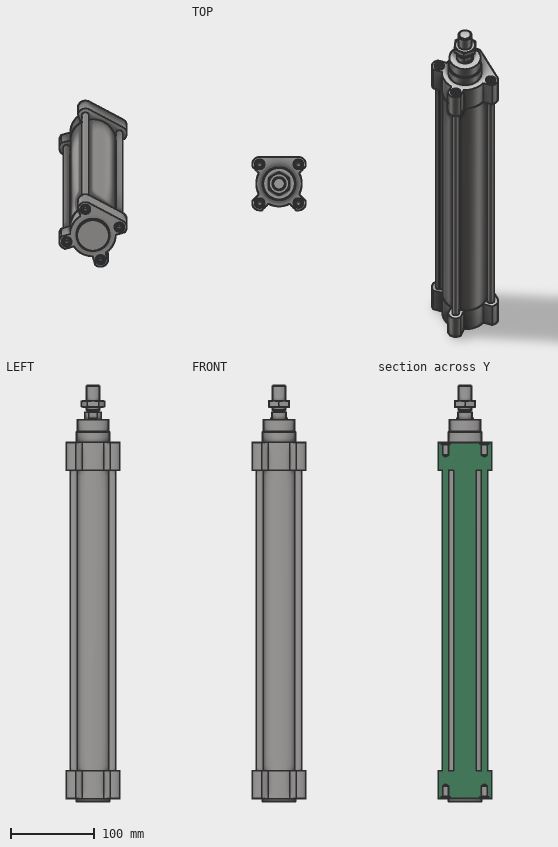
import cadquery as cq
import math

TOTAL_HEIGHT = 498.0
BASE_SPIGOT_HEIGHT = 4.0
CAP_HEIGHT = 33.5
FRONT_CAP_TOP = 429.5
FRONT_CAP_BOTTOM = FRONT_CAP_TOP - CAP_HEIGHT
REAR_CAP_TOP = BASE_SPIGOT_HEIGHT + CAP_HEIGHT

CAP_WIDTH = 64.0
CAP_HALF = CAP_WIDTH / 2
CORE_DIAMETER = 55.0
LUG_RADIUS = 9.0
LUG_CENTER = CAP_HALF - LUG_RADIUS
LUG_FLAT = 2.5

BARREL_DIAMETER = 54.0
TIE_ROD_DIAMETER = 8.5

RECESS_MOUTH_DIAMETER = 12.0
RECESS_DIAMETER = 10.0
RECESS_DEPTH = 2.0
SOCKET_MOUTH_DIAMETER = 8.0
SOCKET_DIAMETER = 6.5
SOCKET_DEPTH = 15.0
DRILL_POINT_ANGLE = 118.0

SPIGOT_DIAMETER = 40.0
SPIGOT_CHAMFER = 1.0
FRONT_SPIGOT_TOP = 443.0
COLLAR_DIAMETER = 37.5
COLLAR_TOP = 457.0

ROD_DIAMETER = 20.0
ROD_SHOULDER = 466.0
WRENCH_FLAT_WIDTH = 17.0
WRENCH_FLAT_BOTTOM = 458.5
NECK_DIAMETER = 13.5
THREAD_DIAMETER = 16.0
THREAD_BOTTOM = 467.5
THREAD_CHAMFER = (THREAD_DIAMETER - NECK_DIAMETER) / 2

NUT_ACROSS_FLATS = 24.5
NUT_FACE_DIAMETER = 24.0
NUT_ACROSS_CORNERS = NUT_ACROSS_FLATS / math.cos(math.radians(30))
NUT_HEIGHT = 7.5
NUT_BOTTOM = 472.0
NUT_CHAMFER_ANGLE = 20.0

LUG_POSITIONS = [(x, y) for x in (-LUG_CENTER, LUG_CENTER) for y in (-LUG_CENTER, LUG_CENTER)]


def cylinder(diameter, bottom, top):
    return cq.Workplane("XY").workplane(offset=bottom).circle(diameter / 2).extrude(top - bottom)


def cap_lug(bottom):
    """Corner lug in +X +Y: a rounded outer corner, two short flats and 45 degree webs."""
    flat_end = LUG_CENTER - LUG_FLAT
    web_run = CAP_HALF - flat_end
    arc_mid = LUG_CENTER + LUG_RADIUS * math.sqrt(0.5)
    return (
        cq.Workplane("XY")
        .workplane(offset=bottom)
        .moveTo(CAP_HALF, flat_end)
        .lineTo(CAP_HALF, LUG_CENTER)
        .threePointArc((arc_mid, arc_mid), (LUG_CENTER, CAP_HALF))
        .lineTo(flat_end, CAP_HALF)
        .lineTo(flat_end - 2 * web_run, CAP_HALF - 2 * web_run)
        .lineTo(CAP_HALF - 2 * web_run, flat_end - 2 * web_run)
        .close()
        .extrude(CAP_HEIGHT)
    )


def end_cap(bottom):
    cap = cylinder(CORE_DIAMETER, bottom, bottom + CAP_HEIGHT)
    lug = cap_lug(bottom)
    for quarter in range(4):
        cap = cap.union(lug.rotate((0, 0, 0), (0, 0, 1), 90 * quarter))
    mounting_face = (
        cq.Workplane("XY")
        .workplane(offset=bottom)
        .center(0, CAP_HALF / 2)
        .rect(2 * LUG_CENTER, CAP_HALF)
        .extrude(CAP_HEIGHT)
    )
    return cap.union(mounting_face)


def screw_recess():
    """Cutter for one recess: its mouth lies at Z = 0 and it points down."""
    recess_radius = RECESS_DIAMETER / 2
    recess_mouth_radius = RECESS_MOUTH_DIAMETER / 2
    mouth_radius = SOCKET_MOUTH_DIAMETER / 2
    socket_radius = SOCKET_DIAMETER / 2
    bevel_bottom = -RECESS_DEPTH - (mouth_radius - socket_radius)
    point_length = socket_radius / math.tan(math.radians(DRILL_POINT_ANGLE / 2))
    return (
        cq.Workplane("XZ")
        .moveTo(0, 0)
        .lineTo(recess_mouth_radius, 0)
        .lineTo(recess_radius, recess_radius - recess_mouth_radius)
        .lineTo(recess_radius, -RECESS_DEPTH)
        .lineTo(mouth_radius, -RECESS_DEPTH)
        .lineTo(socket_radius, bevel_bottom)
        .lineTo(socket_radius, -SOCKET_DEPTH)
        .lineTo(0, -SOCKET_DEPTH - point_length)
        .close()
        .revolve(360, (0, 0, 0), (0, 1, 0))
    )


def make_housing():
    housing = end_cap(BASE_SPIGOT_HEIGHT).union(end_cap(FRONT_CAP_BOTTOM))
    housing = housing.union(cylinder(BARREL_DIAMETER, REAR_CAP_TOP, FRONT_CAP_BOTTOM))
    for x, y in LUG_POSITIONS:
        tie_rod = cylinder(TIE_ROD_DIAMETER, REAR_CAP_TOP, FRONT_CAP_BOTTOM)
        housing = housing.union(tie_rod.translate((x, y, 0)))

    rear_spigot = cylinder(SPIGOT_DIAMETER, 0, BASE_SPIGOT_HEIGHT).faces("<Z").chamfer(SPIGOT_CHAMFER)
    front_spigot = cylinder(SPIGOT_DIAMETER, FRONT_CAP_TOP, FRONT_SPIGOT_TOP)
    front_spigot = front_spigot.faces(">Z").chamfer(SPIGOT_CHAMFER)
    collar = cylinder(COLLAR_DIAMETER, FRONT_SPIGOT_TOP, COLLAR_TOP)
    housing = housing.union(rear_spigot).union(front_spigot).union(collar)

    front_recess = screw_recess()
    rear_recess = front_recess.mirror("XY")
    for x, y in LUG_POSITIONS:
        housing = housing.cut(front_recess.translate((x, y, FRONT_CAP_TOP)))
        housing = housing.cut(rear_recess.translate((x, y, BASE_SPIGOT_HEIGHT)))

    rod_bore = cylinder(ROD_DIAMETER, FRONT_CAP_BOTTOM, COLLAR_TOP)
    return housing.cut(rod_bore)


def make_piston_rod():
    shank = cylinder(ROD_DIAMETER, FRONT_CAP_BOTTOM, ROD_SHOULDER)
    between_flats = (
        cq.Workplane("XY")
        .workplane(offset=WRENCH_FLAT_BOTTOM)
        .rect(WRENCH_FLAT_WIDTH, ROD_DIAMETER)
        .extrude(ROD_SHOULDER - WRENCH_FLAT_BOTTOM)
    )
    flatted_end = cylinder(ROD_DIAMETER, WRENCH_FLAT_BOTTOM, ROD_SHOULDER)
    shank = shank.cut(flatted_end.cut(between_flats))
    neck = cylinder(NECK_DIAMETER, ROD_SHOULDER, THREAD_BOTTOM)
    thread = cylinder(THREAD_DIAMETER, THREAD_BOTTOM, TOTAL_HEIGHT)
    thread = thread.faces("<Z or >Z").chamfer(THREAD_CHAMFER)
    return shank.union(neck).union(thread)


def make_nut():
    top = NUT_BOTTOM + NUT_HEIGHT
    blank = (
        cq.Workplane("XY")
        .workplane(offset=NUT_BOTTOM)
        .polygon(6, NUT_ACROSS_CORNERS)
        .extrude(NUT_HEIGHT)
        .rotate((0, 0, 0), (0, 0, 1), 90)
    )
    corner_radius = NUT_ACROSS_CORNERS / 2
    face_radius = NUT_FACE_DIAMETER / 2
    bevel_height = (corner_radius - face_radius) * math.tan(math.radians(NUT_CHAMFER_ANGLE))
    turned = (
        cq.Workplane("XZ")
        .moveTo(0, NUT_BOTTOM)
        .lineTo(face_radius, NUT_BOTTOM)
        .lineTo(corner_radius, NUT_BOTTOM + bevel_height)
        .lineTo(corner_radius, top - bevel_height)
        .lineTo(face_radius, top)
        .lineTo(0, top)
        .close()
        .revolve(360, (0, 0, 0), (0, 1, 0))
    )
    return blank.intersect(turned).cut(cylinder(THREAD_DIAMETER, NUT_BOTTOM, top))


housing = make_housing()
piston_rod = make_piston_rod()
nut = make_nut()

result = cq.Compound.makeCompound([housing.val(), piston_rod.val(), nut.val()])